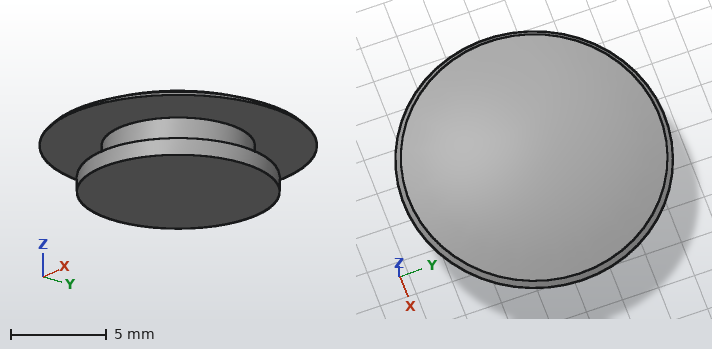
import cadquery as cq

height = 4.5
cap_diameter = 14.5
neck_diameter = 8.0
foot_diameter = 10.6
foot_height = 1.0
foot_edge_radius = 0.2
neck_height = 1.6
rim_bevel = 0.29

cap_radius = cap_diameter / 2
neck_radius = neck_diameter / 2
foot_radius = foot_diameter / 2
dome_radius = cap_radius - rim_bevel
cap_bottom = foot_height + neck_height
dome_bottom = cap_bottom + rim_bevel

dome_height = height - dome_bottom
sphere_radius = (dome_radius**2 + dome_height**2) / (2 * dome_height)
sphere_center = height - sphere_radius
arc_middle_x = dome_radius / 2
arc_middle_z = sphere_center + (sphere_radius**2 - arc_middle_x**2) ** 0.5


def make_foot():
    """Retaining disc with a rounded upper edge."""
    foot = cq.Workplane("XY").circle(foot_radius).extrude(foot_height)
    return foot.faces(">Z").edges().fillet(foot_edge_radius)


def make_neck():
    """Cylinder running from the base up to the underside of the cap."""
    return cq.Workplane("XY").circle(neck_radius).extrude(cap_bottom)


def make_cap():
    """Revolved domed cap with a bevelled rim."""
    return (
        cq.Workplane("XZ")
        .moveTo(0, cap_bottom)
        .lineTo(cap_radius, cap_bottom)
        .lineTo(dome_radius, dome_bottom)
        .threePointArc((arc_middle_x, arc_middle_z), (0, height))
        .close()
        .revolve(360, (0, 0, 0), (0, 1, 0))
    )


result = make_foot().union(make_neck()).union(make_cap())